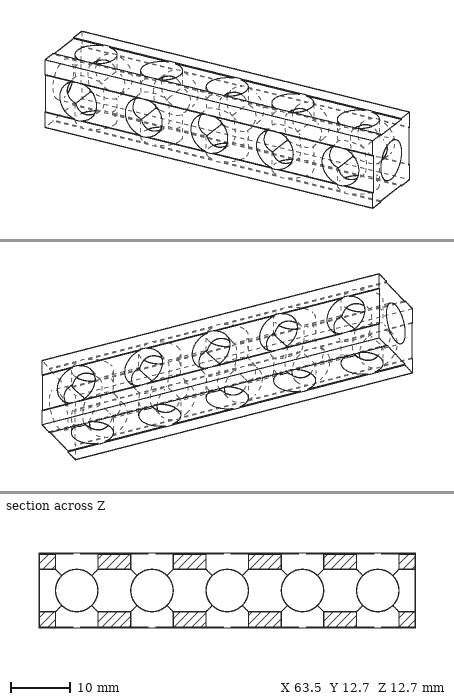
import cadquery as cq

length = 63.5
side = 12.7

hole_diameter = 7.1
hole_pitch = side
hole_count = 5

groove_width = 7.0
groove_depth = 0.2


def cut_long_grooves(body):
    """Cut one full-length groove into each of the four long faces."""
    groove = cq.Workplane("XY").box(length, groove_width, 2 * groove_depth)
    groove = groove.translate((0, 0, side / 2))
    for turn in range(4):
        body = body.cut(groove.rotate((0, 0, 0), (1, 0, 0), 90 * turn))
    return body


def cut_cross_holes(body, plane):
    """Drill the evenly spaced row of holes straight through, normal to the plane."""
    drills = (
        cq.Workplane(plane)
        .rarray(hole_pitch, 0.65, hole_count, 1)
        .circle(hole_diameter / 2)
        .extrude(side, both=True)
    )
    return body.cut(drills)


def cut_axial_bore(body):
    """Bore the beam from end to end along X."""
    bore = cq.Workplane("YZ").circle(hole_diameter / 2).extrude(length, both=True)
    return body.cut(bore)


beam = cq.Workplane("XY").box(length, side, side)
beam = cut_long_grooves(beam)
beam = cut_cross_holes(beam, "XY")
beam = cut_cross_holes(beam, "XZ")
result = cut_axial_bore(beam)